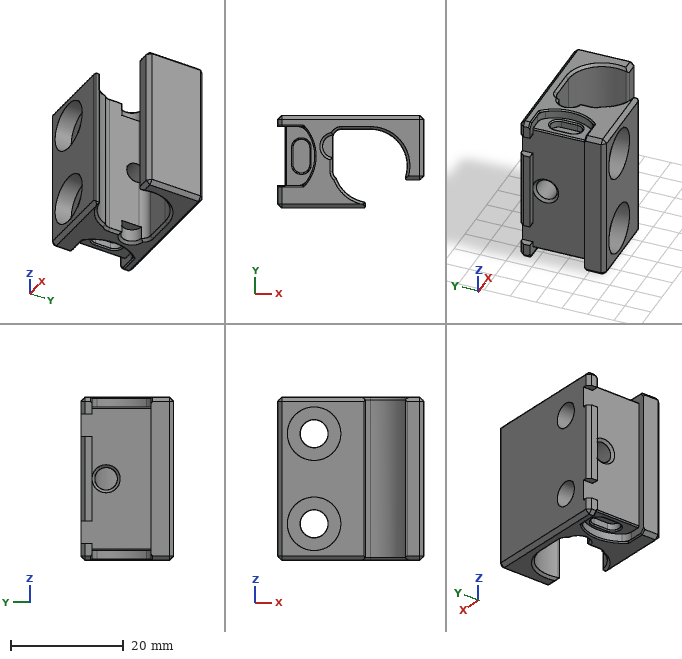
import cadquery as cq

LENGTH = 26.0
DEPTH = 16.5
HEIGHT = 29.0
HALF_HEIGHT = HEIGHT / 2
CLEARANCE = 2.9
SELECT_REACH = 0.03

OUTER_CHAMFER = 0.75
BORE_CHAMFER = 0.5
RIM_CHAMFER = 0.25

BORE_RADIUS = 6.5
BACK_WALL = 2.5
RIGHT_WALL = 3.0
BORE_X = LENGTH - RIGHT_WALL - BORE_RADIUS
BORE_Y = DEPTH - BACK_WALL - BORE_RADIUS
RELIEF_X = 9.83
RELIEF_FRONT_Y = 5.0
RELIEF_CORNER_RADIUS = 1.5
LEFT_JAW_X = 15.6
RIGHT_JAW_Y = 5.0
JAW_INNER_RADIUS = 0.4
JAW_OUTER_CHAMFER = 0.25

NOTCH_RADIUS = 2.0
NOTCH_X = 10.0
NOTCH_Y = 11.0
NOTCH_DEPTH = 3.0

CHANNEL_DEPTH = 1.35
FRONT_RAIL = 4.0
BACK_RAIL = 2.0
CHANNEL_BACK_Y = DEPTH - BACK_RAIL
CHANNEL_WIDTH = CHANNEL_BACK_Y - FRONT_RAIL
CHANNEL_MID_Y = (FRONT_RAIL + CHANNEL_BACK_Y) / 2
RAIL_GAP = 4.0
RAIL_GAP_OFFSET = 3.0

POCKET_DEPTH = 1.75
POCKET_ARC_RADIUS = 7.6
POCKET_ARC_X = -1.0
POCKET_CORNER_RADIUS = 2.0
POCKET_FLOOR_Z = HALF_HEIGHT - POCKET_DEPTH
SLOT_X = 4.23
SLOT_WIDTH = 3.0
SLOT_LENGTH = 6.0
SLOT_DEPTH = 1.5

SCREW_X = 6.5
SCREW_PITCH = 16.0
SCREW_DIAMETER = 4.93
HEAD_DIAMETER = 9.5
HEAD_DEPTH = 3.3
CROSS_HOLE_Y = 12.0
CROSS_HOLE_RADIUS = 2.0


def box(x_min, x_max, y_min, y_max, height=HEIGHT):
    """Axis-aligned box centred on mid height."""
    block = cq.Workplane("XY").box(x_max - x_min, y_max - y_min, height, centered=(False, False, True))
    return block.translate((x_min, y_min, 0))


def both_ends(tool):
    """A cutting tool for the top end together with its mirror image for the bottom end."""
    return tool.union(tool.mirror("XY"))


def flared(prism, size):
    """Upright prism widened at its top by a 45 degree flare of the given size."""
    outline = prism.faces(">Z").wires().val().translate((0, 0, -size))
    flare = cq.Workplane("XY").add(outline).toPending().extrude(size, taper=-45)
    return prism.union(flare)


def cylinder(x, y, radius, depth):
    """Vertical cylinder reaching down from the top end face."""
    plane = cq.Workplane("XY", origin=(x, y, HALF_HEIGHT - depth))
    return plane.circle(radius).extrude(depth)


def near(x, y, reach_y=SELECT_REACH, reach_z=SELECT_REACH):
    """Selector for edges centred close to a point of the plan outline and to mid height."""
    return cq.selectors.BoxSelector(
        (x - SELECT_REACH, y - reach_y, -reach_z), (x + SELECT_REACH, y + reach_y, reach_z)
    )


def outer_block():
    """Block with the mouth corner removed and its edges chamfered, less so along the left jaw end."""
    block = box(0, LENGTH, 0, DEPTH).cut(box(LEFT_JAW_X, LENGTH, 0, RIGHT_JAW_Y))
    jaw_end = near(LEFT_JAW_X, RIGHT_JAW_Y / 2, RIGHT_JAW_Y, HEIGHT)
    block = block.edges(cq.selectors.InverseSelector(jaw_end)).chamfer(OUTER_CHAMFER)
    return block.faces("|Z").edges(jaw_end).chamfer(BORE_CHAMFER)


def clip_cutter():
    """Bore, relief and end notches, all flared at both ends."""
    bore = cylinder(BORE_X, BORE_Y, BORE_RADIUS, HALF_HEIGHT)
    relief = box(RELIEF_X, BORE_X, RELIEF_FRONT_Y, BORE_Y + BORE_RADIUS)
    relief = relief.edges("|Z and <X").fillet(RELIEF_CORNER_RADIUS)
    notch = cylinder(NOTCH_X, NOTCH_Y, NOTCH_RADIUS, NOTCH_DEPTH)
    cutter = flared(bore, BORE_CHAMFER)
    for tool in (relief, notch):
        cutter = cutter.union(flared(tool, BORE_CHAMFER))
    return both_ends(cutter)


def round_jaws(body):
    """Round the lips on either side of the mouth."""
    right_lip_x = BORE_X + (BORE_RADIUS**2 - (BORE_Y - RIGHT_JAW_Y) ** 2) ** 0.5
    left_lip_y = BORE_Y - (BORE_RADIUS**2 - (BORE_X - LEFT_JAW_X) ** 2) ** 0.5
    body = body.edges(near(right_lip_x, RIGHT_JAW_Y)).fillet(JAW_INNER_RADIUS)
    body = body.edges(near(LEFT_JAW_X, left_lip_y)).fillet(JAW_INNER_RADIUS)
    return body.edges(near(LEFT_JAW_X, 0)).chamfer(JAW_OUTER_CHAMFER)


def channel_cutter():
    """Left side channel and the two gaps in its back rail."""
    cutter = box(-CLEARANCE, CHANNEL_DEPTH, FRONT_RAIL, CHANNEL_BACK_Y)
    gap = box(-CLEARANCE, CHANNEL_DEPTH, CHANNEL_MID_Y, DEPTH, RAIL_GAP)
    gap_z = HALF_HEIGHT - RAIL_GAP_OFFSET - RAIL_GAP / 2
    return cutter.union(both_ends(gap.translate((0, 0, gap_z))))


def bevel_channel_ends(body):
    """Chamfer the channel side edges where they run over the bevelled left corners."""
    for y in (FRONT_RAIL, CHANNEL_BACK_Y):
        for side in (-1, 1):
            middle = (OUTER_CHAMFER / 2, y, side * (HALF_HEIGHT - OUTER_CHAMFER / 2))
            edge = cq.selectors.NearestToPointSelector(middle)
            body = body.edges(edge).chamfer(RIM_CHAMFER)
    return body


def pocket_cutter():
    """End pockets with a chamfered rim and rounded corners."""
    corner_x = POCKET_ARC_X + (POCKET_ARC_RADIUS**2 - (CHANNEL_WIDTH / 2) ** 2) ** 0.5
    pocket = (
        cq.Workplane("XY", origin=(0, 0, POCKET_FLOOR_Z))
        .moveTo(-CLEARANCE, FRONT_RAIL)
        .lineTo(corner_x, FRONT_RAIL)
        .threePointArc((POCKET_ARC_X + POCKET_ARC_RADIUS, CHANNEL_MID_Y), (corner_x, CHANNEL_BACK_Y))
        .lineTo(-CLEARANCE, CHANNEL_BACK_Y)
        .close()
        .extrude(POCKET_DEPTH)
    )
    rounded = pocket.edges("|Z").edges(">X").fillet(POCKET_CORNER_RADIUS)
    rim = flared(pocket, RIM_CHAMFER)
    rim = rim.intersect(box(-CLEARANCE, LENGTH, 0, DEPTH).translate((0, 0, HEIGHT - RIM_CHAMFER)))
    return both_ends(rounded.union(rim))


def bevel_pocket_floors(body):
    """Chamfer the edges where the pocket floors meet the channel floor."""
    for floor_z in (-POCKET_FLOOR_Z, POCKET_FLOOR_Z):
        edge = cq.selectors.NearestToPointSelector((CHANNEL_DEPTH, CHANNEL_MID_Y, floor_z))
        body = body.edges("|Y").edges(edge).chamfer(RIM_CHAMFER)
    return body


def slot_cutter():
    """Blind slots with chamfered rims in the pocket floors."""
    plane = cq.Workplane("XY", origin=(SLOT_X, CHANNEL_MID_Y, POCKET_FLOOR_Z - SLOT_DEPTH))
    slot = plane.slot2D(SLOT_LENGTH, SLOT_WIDTH, angle=90).extrude(SLOT_DEPTH)
    return both_ends(flared(slot, RIM_CHAMFER))


def cross_hole_cutter():
    """Countersunk hole from the channel floor into the bore."""
    hole = cq.Workplane("YZ").center(CROSS_HOLE_Y, 0).circle(CROSS_HOLE_RADIUS).extrude(BORE_X)
    mouth_radius = CROSS_HOLE_RADIUS + BORE_CHAMFER
    sink = cq.Solid.makeCone(
        mouth_radius,
        CROSS_HOLE_RADIUS,
        BORE_CHAMFER,
        pnt=cq.Vector(CHANNEL_DEPTH, CROSS_HOLE_Y, 0),
        dir=cq.Vector(1, 0, 0),
    )
    return hole.union(cq.Workplane(sink))


def screw_hole_cutter():
    """Two through holes with head recesses in the front face."""
    centers = [(SCREW_X, side * SCREW_PITCH / 2) for side in (-1, 1)]
    plane = cq.Workplane("XZ").pushPoints(centers)
    shanks = plane.circle(SCREW_DIAMETER / 2).extrude(-DEPTH)
    heads = plane.circle(HEAD_DIAMETER / 2).extrude(-HEAD_DEPTH)
    return shanks.union(heads)


body = outer_block().cut(clip_cutter())
body = round_jaws(body)
body = bevel_channel_ends(body.cut(channel_cutter()))
body = body.cut(pocket_cutter())
body = bevel_pocket_floors(body)
body = body.cut(slot_cutter()).cut(cross_hole_cutter())
result = body.cut(screw_hole_cutter())